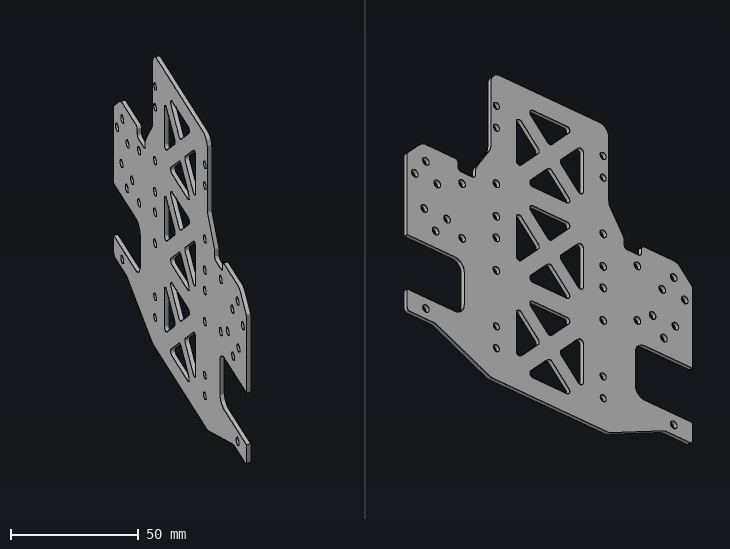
import cadquery as cq
import math

width = 150.0
height = 141.0
thickness = 2.0
half_width = width / 2
half_height = height / 2

neck_half_width = 31.0
neck_bottom_z = 34.8
shoulder_half_width = 39.2
shoulder_z = 22.5
notch_outer_x = 48.2
notch_floor_z = 17.8
wing_top_z = 22.8
wing_chamfer = 8.0
wing_bottom_z = -wing_top_z
slot_inner_x = 45.0
arm_top_z = -47.7
arm_bottom_z = -57.6
arm_root_x = 60.3
large_radius = 5.0
small_radius = 1.5

truss_pitch = 44.0
truss_half_size = 17.5
bar_width = 7.0
window_radius = 1.5

hole_diameter = 3.3
end_hole_diameter = 3.0
rail_hole_x = 28.0
rail_hole_heights = [5.0, 20.0]
end_hole_heights = [45.8, 55.8]
wing_holes = [
    (65.1, 15.0),
    (71.0, 7.0),
    (59.1, 7.0),
    (66.0, -7.0),
    (54.0, -7.0),
    (60.0, -15.0),
    (46.0, 12.6),
    (46.0, -12.6),
]
arm_hole = (65.1, -52.8)


def extrude_through(sketch):
    """Extrude an XZ sketch symmetrically about Y = 0."""
    return sketch.extrude(thickness / 2, both=True)


def fillet_corner(body, x, z, radius):
    """Round the upright edges of the body at (x, z) and (-x, z)."""
    for side in (-1, 1):
        corner = cq.selectors.NearestToPointSelector((side * x, 0, z))
        body = body.edges("|Y").edges(corner).fillet(radius)
    return body


def make_plate():
    """Plate blank, with (x, z, corner radius) listed for the right half."""
    corners = [
        (neck_half_width, half_height, large_radius),
        (neck_half_width, neck_bottom_z, large_radius),
        (shoulder_half_width, shoulder_z, large_radius),
        (shoulder_half_width, notch_floor_z, small_radius),
        (notch_outer_x, notch_floor_z, small_radius),
        (notch_outer_x, wing_top_z, small_radius),
        (half_width - wing_chamfer, wing_top_z, large_radius),
        (half_width, wing_top_z - wing_chamfer, small_radius),
        (half_width, wing_bottom_z, 0),
        (slot_inner_x, wing_bottom_z, large_radius),
        (slot_inner_x, arm_top_z, large_radius),
        (half_width, arm_top_z, 0),
        (half_width, arm_bottom_z, small_radius),
        (arm_root_x, arm_bottom_z, large_radius),
        (neck_half_width, -half_height, large_radius),
    ]
    right_side = [(x, z) for x, z, radius in corners]
    left_side = [(-x, z) for x, z in reversed(right_side)]
    plate = extrude_through(cq.Workplane("XZ").polyline(right_side + left_side).close())
    for x, z, radius in corners:
        if radius > 0:
            plate = fillet_corner(plate, x, z, radius)
    return plate


def make_truss_windows(center_z):
    """Four rounded triangles left open between the diagonal bars."""
    apex = bar_width / math.sqrt(2)
    base = truss_half_size
    triangle = [(0, apex), (base - apex, base), (apex - base, base)]
    window = extrude_through(cq.Workplane("XZ").polyline(triangle).close())
    window = window.edges("|Y").fillet(window_radius)
    windows = cq.Workplane("XZ")
    for angle in range(0, 360, 90):
        windows = windows.add(window.rotate((0, 0, 0), (0, 1, 0), angle))
    return windows.combine().translate((0, 0, center_z))


def make_holes(right_points, diameter):
    """Through holes at the given (x, z) points and their mirror images."""
    left_points = [(-x, z) for x, z in right_points]
    centers = cq.Workplane("XZ").pushPoints(right_points + left_points)
    return extrude_through(centers.circle(diameter / 2))


def rail_points(heights):
    """Points on the right-hand rail, above and below the plate centre."""
    return [(rail_hole_x, side * z) for z in heights for side in (-1, 1)]


result = make_plate()
main_holes = wing_holes + [arm_hole] + rail_points(rail_hole_heights)
result = result.cut(make_holes(main_holes, hole_diameter))
result = result.cut(make_holes(rail_points(end_hole_heights), end_hole_diameter))
for row in (-1, 0, 1):
    result = result.cut(make_truss_windows(row * truss_pitch))